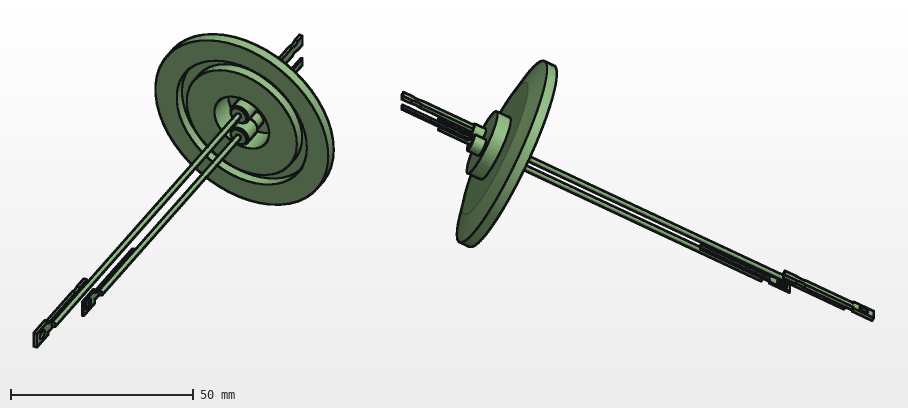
import cadquery as cq


flange_radius = 27.5
rim_thickness = 3.0
back_radius = 20.0
flange_thickness = 5.0
groove_outer_radius = 20.7
groove_inner_radius = 17.5
groove_depth = 2.9

boss_radius = 9.4
boss_back = 9.1
bore_radius = 8.7
bore_depth = 7.5

lead_offset = 3.9
sleeve_radius = 2.5
sleeve_back = 12.6
head_radius = 2.9
head_front = -1.7
head_length = 5.4
head_chamfer = 0.5

wire_radius = 0.75
wire_back = 22.3
strip_inner_x = -0.6
strips_back = 34.2
tab_length = 6.2
tab_height = 4.9
wire_to_tab_gap = 1.9

upper_front = -110.6
upper_strip_length = 27.4
upper_strip_height = 3.2
upper_strip_thickness = 1.0
upper_hole_radius = 1.3
upper_hole_inset = 3.0
scallop_radius = 2.6
front_scallop_depth = 0.36
front_scallop_inset = 22.3
back_scallop_depth = 0.5
back_scallop_inset = 4.2

lower_front = -85.1
lower_strip_length = 27.5
lower_strip_height = 2.3
lower_strip_thickness = 0.5
lower_hole_radius = 1.6
lower_hole_inset = 2.5
lower_back_strip_start = 13.6


def cylinder(radius, y_start, y_end, z=0):
    """Round bar along Y between two Y positions."""
    return (
        cq.Workplane("XZ", origin=(0, y_start, z))
        .circle(radius)
        .extrude(y_start - y_end)
    )


def strip(thickness, height, y_start, y_end, z):
    """Flat strip along Y whose +X face is set slightly into the wire."""
    return (
        cq.Workplane("XY")
        .box(thickness, y_end - y_start, height, centered=(False, False, True))
        .translate((strip_inner_x - thickness, y_start, z))
    )


def make_flange():
    """Bevelled disc and boss, with a ring groove and a blind bore in the front face."""
    profile = [
        (0, 0),
        (flange_radius, 0),
        (flange_radius, rim_thickness),
        (back_radius, flange_thickness),
        (boss_radius, flange_thickness),
        (boss_radius, boss_back),
        (0, boss_back),
    ]
    body = cq.Workplane("XY").polyline(profile).close().revolve(360, (0, 0), (0, 1))
    groove = cylinder(groove_outer_radius, 0, groove_depth).cut(
        cylinder(groove_inner_radius, 0, groove_depth)
    )
    return body.cut(groove).cut(cylinder(bore_radius, 0, bore_depth))


def make_insulator(z):
    """Sleeve through the boss wall with a wider, chamfered head at the front."""
    head = cylinder(head_radius, head_front, head_front + head_length, z)
    head = head.faces("<Y").chamfer(head_chamfer)
    return head.union(cylinder(sleeve_radius, head_front + head_length, sleeve_back, z))


def make_front_terminal(thickness, height, length, front, hole_radius, hole_inset, z):
    """Wire strip ending in a wider tab with a cross hole."""
    tab = strip(thickness, tab_height, front, front + tab_length, z)
    hole = (
        cq.Workplane("YZ", origin=(strip_inner_x, front + hole_inset, z))
        .circle(hole_radius)
        .extrude(-thickness)
    )
    return strip(thickness, height, front, front + length, z).union(tab).cut(hole)


def make_wire(front, z):
    """Wire that stops just short of the tab."""
    return cylinder(wire_radius, front + tab_length + wire_to_tab_gap, wire_back, z)


def scallop_edges(plate, depth, y, z):
    """Cut a shallow round scallop into both long edges of an upper strip."""
    centre_offset = upper_strip_height / 2 - depth + scallop_radius
    scallops = (
        cq.Workplane("YZ", origin=(strip_inner_x, y, z))
        .pushPoints([(0, centre_offset), (0, -centre_offset)])
        .circle(scallop_radius)
        .extrude(-upper_strip_thickness)
    )
    return plate.cut(scallops)


def make_upper_lead(z):
    """Conductor with the thick strips, each scalloped on both edges."""
    front_terminal = make_front_terminal(
        upper_strip_thickness, upper_strip_height, upper_strip_length,
        upper_front, upper_hole_radius, upper_hole_inset, z,
    )
    front_scallop_y = upper_front + front_scallop_inset
    front_terminal = scallop_edges(front_terminal, front_scallop_depth, front_scallop_y, z)
    back_strip = strip(upper_strip_thickness, upper_strip_height, sleeve_back, strips_back, z)
    back_scallop_y = strips_back - back_scallop_inset
    back_strip = scallop_edges(back_strip, back_scallop_depth, back_scallop_y, z)
    return make_wire(upper_front, z).union(front_terminal).union(back_strip)


def make_lower_lead(z):
    """Conductor with the thin strips."""
    front_terminal = make_front_terminal(
        lower_strip_thickness, lower_strip_height, lower_strip_length,
        lower_front, lower_hole_radius, lower_hole_inset, z,
    )
    back_strip = strip(
        lower_strip_thickness, lower_strip_height, lower_back_strip_start, strips_back, z
    )
    return make_wire(lower_front, z).union(front_terminal).union(back_strip)


result = make_flange()
for lead_z in (lead_offset, -lead_offset):
    result = result.union(make_insulator(lead_z))
result = result.union(make_upper_lead(lead_offset))
result = result.union(make_lower_lead(-lead_offset))